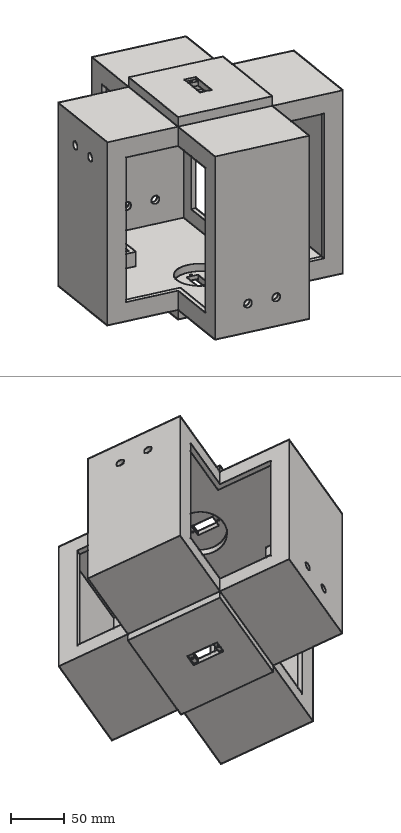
import cadquery as cq

span = 250.0
arm_width = 100.0
body_height = 190.0
wall = 5.0

cap_thickness = 10.0
overall_height = body_height + 2 * cap_thickness

window_frame = 20.0
window_span = span - 2 * window_frame
window_height = body_height - 2 * window_frame

bolt_diameter = 8.2
bolt_spacing = 30.0
bolt_height = 65.0

recess_diameter = 50.0
seat_web = 7.0
servo_offset = -5.2
servo_width = 12.0
servo_body_length = 22.5
servo_flange_length = 32.2
flange_depth = 2.5
screw_diameter = 2.0
screw_spacing = 28.0


def cross(length, width, height):
    """Two equal bars crossing at right angles, centred on the origin."""
    return cq.Workplane().box(length, width, height).union(cq.Workplane().box(width, length, height))


def hollow_body():
    outside = cross(span, arm_width, body_height)
    caps = cq.Workplane().box(arm_width, arm_width, overall_height)
    cavity = cross(span - 2 * wall, arm_width - 2 * wall, body_height - 2 * wall)
    return outside.union(caps).cut(cavity)


def windows():
    """A cross-shaped cutter that opens the side walls and leaves a frame around each opening."""
    return cross(window_span, arm_width, window_height)


def bolt_holes(plane, height):
    """A pair of holes running from one arm end to the opposite one."""
    return (
        cq.Workplane(plane)
        .pushPoints([(side * bolt_spacing / 2, height) for side in (-1, 1)])
        .circle(bolt_diameter / 2)
        .extrude(span / 2, both=True)
    )


def upper_servo_seat():
    """Round inner recess, servo slot, outer flange pocket and screw holes."""
    top = overall_height / 2
    recess_height = top - seat_web
    recess = cq.Workplane().circle(recess_diameter / 2).extrude(recess_height)
    base = cq.Workplane().center(servo_offset, 0)
    slot = base.rect(servo_body_length, servo_width).extrude(top)
    flange = (
        base.workplane(offset=top - flange_depth)
        .rect(servo_flange_length, servo_width)
        .extrude(flange_depth)
    )
    screws = (
        base.pushPoints([(side * screw_spacing / 2, 0) for side in (-1, 1)])
        .circle(screw_diameter / 2)
        .extrude(top)
    )
    return recess.union(slot).union(flange).union(screws)


upper_seat = upper_servo_seat()
result = (
    hollow_body()
    .cut(windows())
    .cut(bolt_holes("XZ", bolt_height))
    .cut(bolt_holes("YZ", -bolt_height))
    .cut(upper_seat)
    .cut(upper_seat.mirror("XY"))
)